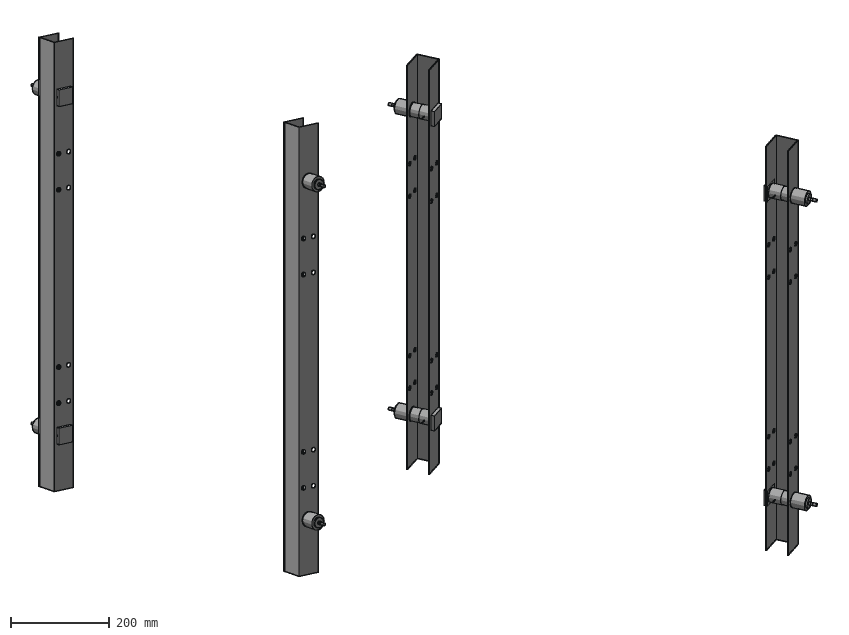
import cadquery as cq

span_x = 954.0
post_height = 950.0
latch_z = 358.0
latch_y = -1.0

channel_width = 51.0
channel_depth = 51.0
wall = 2.0
channel_outer_x = 425.5

bolt_hole_diameter = 10.0
bolt_pitch_y = 26.0
bolt_hole_rows_z = [238.0, 161.0, -214.0, -290.0]

flange_side = 35.0
flange_thickness = 8.0
sleeve_diameter = 31.0
sleeve_length = 29.0
shank_diameter = 30.0
barrel_diameter = 32.0
barrel_length = 31.5
step_diameter = 22.0
step_length = 4.0
boss_diameter = 8.0
boss_length = 4.0
neck_diameter = 6.0
tip_diameter = 7.0
tip_length = 8.0

pin_diameter = 2.0
pin_offset_x = 16.0

channel_inner_x = channel_outer_x - channel_width
barrel_end_x = channel_outer_x + barrel_length
tip_end_x = span_x / 2


def x_cylinder(diameter, x_start, x_end, y=0.0, z=0.0):
    """Cylinder along X between two stations."""
    return (
        cq.Workplane("YZ", origin=(x_start, y, z))
        .circle(diameter / 2)
        .extrude(x_end - x_start)
    )


def make_channel():
    """Channel post on the +X side, with its bolt holes and latch holes."""
    middle_x = channel_outer_x - channel_width / 2
    channel = cq.Workplane("XY").box(channel_width, channel_depth, post_height)
    hollow = cq.Workplane("XY").box(channel_width - 2 * wall, channel_depth, post_height)
    channel = channel.cut(hollow.translate((0, wall, 0))).translate((middle_x, 0, 0))

    for z in bolt_hole_rows_z:
        for y in (-bolt_pitch_y / 2, bolt_pitch_y / 2):
            channel = channel.cut(
                x_cylinder(bolt_hole_diameter, channel_inner_x, channel_outer_x, y, z)
            )

    for z in (-latch_z, latch_z):
        channel = channel.cut(
            x_cylinder(sleeve_diameter, channel_inner_x, channel_inner_x + wall, latch_y, z)
        )
        channel = channel.cut(
            x_cylinder(shank_diameter, channel_outer_x - wall, channel_outer_x, latch_y, z)
        )
    return channel


def make_latch(z):
    """Latch on the +X side: flange against the inner wall, tip pointing to +X."""
    sleeve_end_x = channel_inner_x + sleeve_length
    step_end_x = barrel_end_x + step_length
    boss_end_x = step_end_x + boss_length
    profile = [
        (channel_inner_x, 0),
        (channel_inner_x, sleeve_diameter / 2),
        (sleeve_end_x, sleeve_diameter / 2),
        (sleeve_end_x, shank_diameter / 2),
        (channel_outer_x, shank_diameter / 2),
        (channel_outer_x, barrel_diameter / 2),
        (barrel_end_x, barrel_diameter / 2),
        (barrel_end_x, step_diameter / 2),
        (step_end_x, step_diameter / 2),
        (step_end_x, boss_diameter / 2),
        (boss_end_x, boss_diameter / 2),
        (boss_end_x, neck_diameter / 2),
        (tip_end_x - tip_length, neck_diameter / 2),
        (tip_end_x - tip_length, tip_diameter / 2),
        (tip_end_x, tip_diameter / 2),
        (tip_end_x, 0),
    ]
    turned = cq.Workplane("XZ").polyline(profile).close().revolve(360, (0, 0), (1, 0))
    flange = (
        cq.Workplane("YZ", origin=(channel_inner_x, 0, 0))
        .rect(flange_side, flange_side)
        .extrude(-flange_thickness)
    )
    pin = (
        cq.Workplane("XZ", origin=(channel_inner_x + pin_offset_x, 0, 0))
        .circle(pin_diameter / 2)
        .extrude(latch_y - channel_depth / 2)
    )
    return turned.union(flange).union(pin).translate((0, latch_y, z))


right_bodies = [make_channel()] + [make_latch(z) for z in (-latch_z, latch_z)]
left_bodies = [body.mirror("YZ") for body in right_bodies]

result = cq.Compound.makeCompound([body.val() for body in right_bodies + left_bodies])